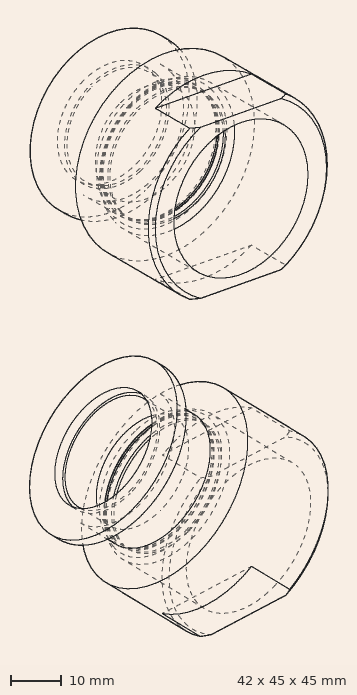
import cadquery as cq
import math

length = 42.0
body_diameter = 45.0

flange_diameter = 40.0
flange_rim_width = 2.95
flange_taper_angle = 15.0
flange_edge_radius = 1.0
flange_root_radius = 0.5

neck_diameter = 30.0
neck_end = 14.9
shoulder_end = 17.75
body_chamfer = 1.0

flat_spacing = 38.0
flat_length = 12.0

seat_diameter = 26.3
seat_depth = 2.3
bore_diameter = 25.0
cone_start = 11.35
cone_end = 15.9
land_diameter = 29.02
socket_diameter = 33.7
socket_start = 18.55

groove_angle = 55.0
grooves = ((15.95, 0.4), (16.4, 1.55))


def revolve_about_x(outline):
    """Close a half section and turn it a full circle about the X axis."""
    return outline.close().revolve(360, (0, 0, 0), (1, 0, 0))


def circle_at(x, radius):
    """Selector for the circular edge centred on the X axis at x."""
    margin = 0.005
    reach = radius + margin
    low = (x - margin, -reach, -reach)
    high = (x + margin, reach, reach)
    return cq.selectors.BoxSelector(low, high, boundingbox=True)


def make_outer_body():
    """Flange, neck, shoulder and body revolved about X."""
    flange_radius = flange_diameter / 2
    neck_radius = neck_diameter / 2
    body_radius = body_diameter / 2
    taper_length = (flange_radius - neck_radius) * math.tan(math.radians(flange_taper_angle))
    taper_end = flange_rim_width + taper_length
    outline = (
        cq.Workplane("XY")
        .moveTo(0, 0)
        .lineTo(0, flange_radius)
        .lineTo(flange_rim_width, flange_radius)
        .lineTo(taper_end, neck_radius)
        .lineTo(neck_end, neck_radius)
        .lineTo(shoulder_end, body_radius)
        .lineTo(length - body_chamfer, body_radius)
        .lineTo(length, body_radius - body_chamfer)
        .lineTo(length, 0)
    )
    body = revolve_about_x(outline)
    body = body.edges(circle_at(flange_rim_width, flange_radius)).fillet(flange_edge_radius)
    return body.edges(circle_at(taper_end, neck_radius)).fillet(flange_root_radius)


def cut_flats(body):
    """Mill the two flats at the body end."""
    flat_height = (body_diameter - flat_spacing) / 2
    for side in (-1, 1):
        cutter = cq.Workplane("XY").box(flat_length, body_diameter, flat_height)
        centre_z = side * (flat_spacing + flat_height) / 2
        body = body.cut(cutter.translate((length - flat_length / 2, 0, centre_z)))
    return body


def make_bore():
    """Seat, bore, cone, grooved land and socket as one solid revolved about X."""
    bore_radius = bore_diameter / 2
    land_radius = land_diameter / 2
    outline = [
        (0, 0),
        (0, seat_diameter / 2),
        (seat_depth, seat_diameter / 2),
        (seat_depth, bore_radius),
        (cone_start, bore_radius),
        (cone_end, land_radius),
    ]
    for start, width in grooves:
        depth = width / 2 / math.tan(math.radians(groove_angle / 2))
        outline += [
            (start, land_radius),
            (start + width / 2, land_radius + depth),
            (start + width, land_radius),
        ]
    outline += [
        (socket_start, land_radius),
        (socket_start, socket_diameter / 2),
        (length, socket_diameter / 2),
        (length, 0),
    ]
    return revolve_about_x(cq.Workplane("XY").polyline(outline))


result = cut_flats(make_outer_body()).cut(make_bore())